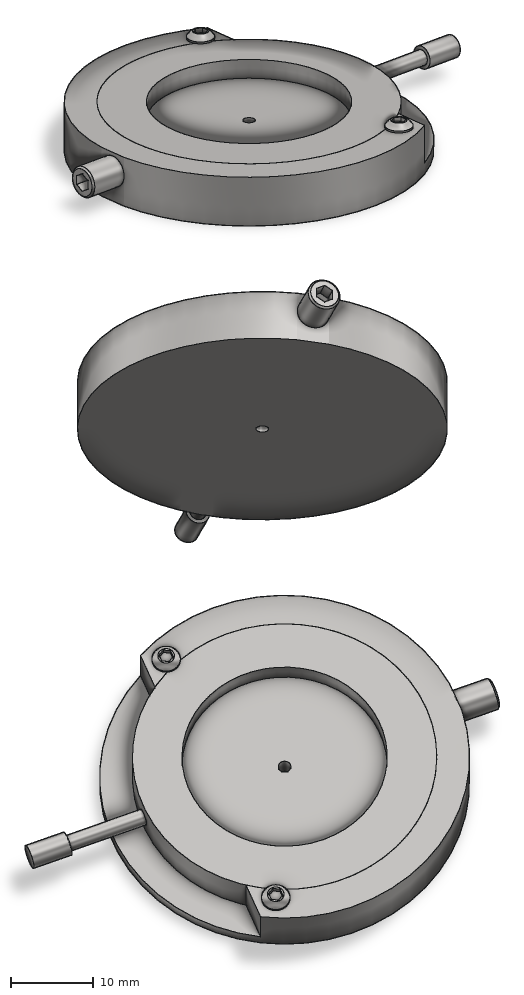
import cadquery as cq
import math

housing_diameter = 45.0
housing_radius = housing_diameter / 2
housing_height = 6.5
ledge_height = 1.5
ledge_front_y = 11.0
flat_width = 4.0
flat_y = -math.sqrt(housing_radius**2 - (flat_width / 2)**2)

rotor_radius = 18.5
recess_radius = 12.5
recess_depth = 2.5
aperture_diameter = 1.5
lever_diameter = 2.0
lever_height = 3.8
lever_embedment = 1.0
lever_root_y = rotor_radius - lever_embedment
knob_diameter = 3.0
knob_length = 5.0

clamp_diameter = 4.0
clamp_height = 4.0
clamp_chamfer = 0.25
clamp_socket_flats = 2.0
clamp_socket_depth = 2.0

button_x = 17.9
button_y = 8.35
button_diameter = 3.5
button_rim_height = 0.25
button_top_diameter = 2.0
button_socket_flats = 1.5
button_socket_depth = 0.6

overall_length = 60.9
overall_height = 7.5
knob_end_y = 33.45
clamp_end_y = knob_end_y - overall_length
button_height = overall_height - housing_height


def hexagon_corners(across_flats):
    """Diameter of the circle through the corners of a hexagon."""
    return across_flats / math.cos(math.pi / 6)


def rod_along_y(diameter, start_y, end_y, height):
    """A cylinder parallel to Y, centred on X = 0 at the given height."""
    plane = cq.Plane(origin=(0, start_y, height), xDir=(1, 0, 0), normal=(0, 1, 0))
    return cq.Workplane(plane).circle(diameter / 2).extrude(end_y - start_y)


def make_housing():
    body = cq.Workplane("XY").circle(housing_radius).extrude(housing_height)

    ledge_cut = (
        cq.Workplane("XY", origin=(0, ledge_front_y, ledge_height))
        .rect(housing_diameter, housing_diameter)
        .extrude(housing_height)
        .translate((0, housing_diameter / 2, 0))
    )
    front_cut = (
        cq.Workplane("XY", origin=(0, flat_y - flat_width / 2, 0))
        .rect(flat_width, flat_width)
        .extrude(housing_height)
    )
    rotor_seat = (
        cq.Workplane("XY", origin=(0, 0, ledge_height))
        .circle(rotor_radius)
        .extrude(housing_height)
    )
    aperture = cq.Workplane("XY").circle(aperture_diameter / 2).extrude(housing_height)
    return body.cut(ledge_cut).cut(front_cut).cut(rotor_seat).cut(aperture)


def make_rotor():
    disc = (
        cq.Workplane("XY", origin=(0, 0, ledge_height))
        .circle(rotor_radius)
        .extrude(housing_height - ledge_height)
    )
    disc = (
        disc.faces(">Z").workplane()
        .cboreHole(aperture_diameter, 2 * recess_radius, recess_depth)
    )

    knob_start_y = knob_end_y - knob_length
    lever = rod_along_y(lever_diameter, lever_root_y, knob_start_y, lever_height)
    knob = rod_along_y(knob_diameter, knob_start_y, knob_end_y, lever_height)
    return disc.union(lever).union(knob)


def make_clamp_screw():
    body = rod_along_y(clamp_diameter, clamp_end_y, flat_y, clamp_height)
    body = body.faces("<Y").chamfer(clamp_chamfer)
    plane = cq.Plane(origin=(0, clamp_end_y, clamp_height), xDir=(0, 0, 1), normal=(0, 1, 0))
    socket = (
        cq.Workplane(plane)
        .polygon(6, hexagon_corners(clamp_socket_flats))
        .extrude(clamp_socket_depth)
    )
    return body.cut(socket)


def make_button_screw(x):
    """A domed head with a hexagon socket, resting on the housing and rotor."""
    rim_radius = button_diameter / 2
    top_radius = button_top_diameter / 2
    dome_rise = button_height - button_rim_height
    centre_drop = (rim_radius**2 - top_radius**2 - dome_rise**2) / (2 * dome_rise)
    dome_radius = math.hypot(rim_radius, centre_drop)
    middle_radius = (rim_radius + top_radius) / 2
    middle_height = button_rim_height - centre_drop + math.sqrt(dome_radius**2 - middle_radius**2)

    head = (
        cq.Workplane("XZ")
        .lineTo(rim_radius, 0)
        .lineTo(rim_radius, button_rim_height)
        .threePointArc((middle_radius, middle_height), (top_radius, button_height))
        .lineTo(0, button_height)
        .close()
        .revolve(360, (0, 0), (0, 1))
    )
    socket = (
        cq.Workplane("XY", origin=(0, 0, button_height - button_socket_depth))
        .polygon(6, hexagon_corners(button_socket_flats))
        .extrude(button_socket_depth)
    )
    return head.cut(socket).translate((x, button_y, housing_height))


housing = make_housing()
rotor = make_rotor()
clamp_screw = make_clamp_screw()
button_screws = [make_button_screw(x) for x in (-button_x, button_x)]

result = cq.Compound.makeCompound(
    [housing.val(), rotor.val(), clamp_screw.val()] + [screw.val() for screw in button_screws]
)